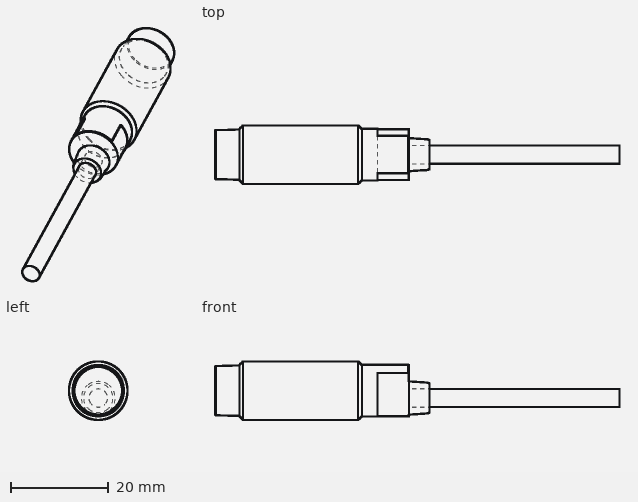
import cadquery as cq

total_length = 82.6
x_tip = -total_length / 2
x_sleeve = x_tip + 5.0
x_plug = x_tip + 30.0
x_relief = x_tip + 33.15
x_boot = x_tip + 39.6
x_boot_end = x_tip + 43.85
x_end = x_tip + total_length

nose_root_diameter = 10.36
nose_tip_diameter = 10.1
nose_chamfer = 0.2

sleeve_diameter = 12.0
sleeve_chamfer_length = 0.75
sleeve_end_diameter = 10.5

plug_diameter = 10.6
relief_diameter = 10.45
relief_top = 3.6
plug_chamfer_length = 0.2

cable_z = -1.5
cable_diameter = 3.75
cable_hole_diameter = 3.8
cable_insertion = 4.25
boot_root_diameter = 6.85
boot_tip_diameter = 6.35
boot_chamfer_length = 0.55
boot_chamfer_depth = 0.2


def cylinder(x_start, x_stop, diameter, z=0):
    return cq.Workplane("YZ", origin=(x_start, 0, z)).circle(diameter / 2).extrude(x_stop - x_start)


def turned(profile):
    """Solid of revolution about X whose (x, diameter) profile runs from front to rear."""
    outline = [(x, diameter / 2) for x, diameter in profile]
    outline = [(profile[0][0], 0), *outline, (profile[-1][0], 0)]
    return cq.Workplane("XZ").polyline(outline).close().revolve(360, (0, 0, 0), (1, 0, 0))


def make_nose():
    return turned([
        (x_tip, nose_tip_diameter - 2 * nose_chamfer),
        (x_tip + nose_chamfer, nose_tip_diameter),
        (x_sleeve, nose_root_diameter),
    ])


def make_sleeve():
    return turned([
        (x_sleeve, sleeve_end_diameter),
        (x_sleeve + sleeve_chamfer_length, sleeve_diameter),
        (x_plug - sleeve_chamfer_length, sleeve_diameter),
        (x_plug, sleeve_end_diameter),
    ])


def make_relief():
    """Ring around the rear of the plug, cut off level at the top."""
    length = x_boot - x_relief
    ring = cylinder(x_relief, x_boot, sleeve_diameter).cut(cylinder(x_relief, x_boot, relief_diameter))
    below_top = (
        cq.Workplane("XY", origin=(x_relief, 0, relief_top - sleeve_diameter))
        .box(length, sleeve_diameter, sleeve_diameter, centered=(False, True, False))
    )
    return ring.intersect(below_top)


def make_boot():
    return turned([
        (x_boot, boot_root_diameter),
        (x_boot_end - boot_chamfer_length, boot_tip_diameter),
        (x_boot_end, boot_tip_diameter - 2 * boot_chamfer_depth),
    ]).translate((0, 0, cable_z))


def make_plug():
    body = turned([
        (x_plug, plug_diameter),
        (x_boot - plug_chamfer_length, plug_diameter),
        (x_boot, relief_diameter),
    ])
    cable_hole = cylinder(x_boot_end - cable_insertion, x_boot_end, cable_hole_diameter, cable_z)
    return body.cut(make_relief()).union(make_boot()).cut(cable_hole)


def make_cable():
    return cylinder(x_boot_end - cable_insertion, x_end, cable_diameter, cable_z)


nose = make_nose()
sleeve = make_sleeve()
plug = make_plug()
cable = make_cable()

result = cq.Compound.makeCompound([nose.val(), sleeve.val(), plug.val(), cable.val()])